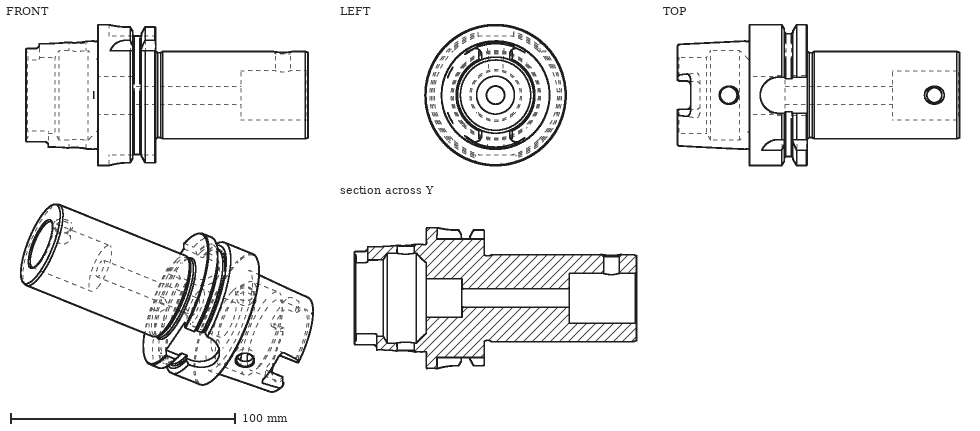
import cadquery as cq
import math


taper_length = 32.0
taper_large_radius = 24.2
taper_slope = 0.05
taper_end_x = -1.8
taper_nose_fillet = 1.2
undercut_radius = 48.04 / 2
undercut_start_x = -1.1
face_relief_depth = 0.2
face_relief_fillet = 0.8
face_relief_flat = 0.05
face_relief_outer_radius = 25.6

flange_width = 26.0
flange_radius = 63.0 / 2
flange_edge_chamfer = 0.4
groove_floor_radius = 55.0 / 2
groove_left_x = 14.6
groove_left_wall_x = 15.8
groove_right_wall_x = 19.6
groove_right_x = 21.2
groove_floor_fillet = 0.65
groove_flank_angle = 60.0
groove_flank_slope = math.tan(math.radians(groove_flank_angle))

body_length = 94.0
body_radius = 39.0 / 2
neck_radius = 38.0 / 2
neck_corner_x = 26.85
neck_end_x = 28.2
neck_chamfer_end_x = 29.2
body_end_chamfer_length = 1.2
body_end_radius = 38.0 / 2

mouth_radius = 34.0 / 2
mouth_chamfer = 0.6
mouth_length = 13.0
chamber_radius = 40.0 / 2
shoulder_angle = 60.0
shoulder_length = (chamber_radius - mouth_radius) / math.tan(math.radians(shoulder_angle))
chamber_floor_x = 0.0
chamber_floor_radius = 31.4 / 2
pipe_thread_radius = 16.92 / 2
pipe_thread_depth = 16.0
coolant_radius = 8.0 / 2

tool_bore_radius = 22.0 / 2
tool_bore_mouth_radius = 23.2 / 2
tool_bore_depth = 30.0
screw_hole_x = body_length - 11.3
screw_hole_diameter = 6.65
screw_countersink_diameter = 8.8

cross_hole_x = -9.1
cross_hole_diameter = 7.5
cross_hole_rim_diameter = 8.8

drive_slot_half_width = 12.5 / 2
drive_slot_flare_z = 18.0
drive_slot_flare_radius = 2.85
drive_slot_floor_fillet = 1.6
drive_slot_mouth_chamfer = 1.15
drive_slot_mouth_chamfer_length = 0.8
drive_slot_mouth_chamfer_top = 19.3
drive_slot_depths = ((5.9, 0), (10.0, 180))

keyway_floor_height = 26.5
keyway_start_x = 5.0
upper_keyway_width = 16.0
lower_keyway_width = 18.0

notch_offset = 19.8
notch_width = 16.0

clearance = 40.0


def revolve_about_x(points):
    return cq.Workplane("XY").polyline(points).close().revolve(360, (0, 0, 0), (1, 0, 0))


def taper_radius(x):
    return taper_large_radius + taper_slope * (x - taper_end_x)


def fillet_circle(body, x, radius, fillet_radius):
    """Round the circular edge of the given radius that lies in the plane at x."""
    tolerance = 0.01
    center_box = cq.selectors.BoxSelector(
        (x - tolerance, -tolerance, -tolerance),
        (x + tolerance, tolerance, tolerance),
    )
    edges = [
        edge for edge in body.edges("%CIRCLE").edges(center_box).vals()
        if abs(edge.radius() - radius) < tolerance
    ]
    return body.newObject(edges).fillet(fillet_radius)


def outer_body():
    relief_floor_radius = undercut_radius + face_relief_fillet + face_relief_flat
    left_flank_drop = groove_flank_slope * (groove_left_wall_x - groove_left_x)
    right_flank_drop = groove_flank_slope * (groove_right_x - groove_right_wall_x)
    body = revolve_about_x([
        (-taper_length, 0),
        (-taper_length, taper_radius(-taper_length)),
        (taper_end_x, taper_large_radius),
        (undercut_start_x, undercut_radius),
        (face_relief_depth, undercut_radius),
        (face_relief_depth, relief_floor_radius),
        (0, face_relief_outer_radius),
        (0, flange_radius - flange_edge_chamfer),
        (flange_edge_chamfer, flange_radius),
        (groove_left_x, flange_radius),
        (groove_left_wall_x, flange_radius - left_flank_drop),
        (groove_left_wall_x, groove_floor_radius),
        (groove_right_wall_x, groove_floor_radius),
        (groove_right_wall_x, flange_radius - right_flank_drop),
        (groove_right_x, flange_radius),
        (flange_width - flange_edge_chamfer, flange_radius),
        (flange_width, flange_radius - flange_edge_chamfer),
        (flange_width, body_radius),
        (neck_corner_x, neck_radius),
        (neck_end_x, neck_radius),
        (neck_chamfer_end_x, body_radius),
        (body_length - body_end_chamfer_length, body_radius),
        (body_length, body_end_radius),
        (body_length, 0),
    ])
    body = body.faces("<X").edges().fillet(taper_nose_fillet)
    body = fillet_circle(body, face_relief_depth, undercut_radius, face_relief_fillet)
    for wall_x in (groove_left_wall_x, groove_right_wall_x):
        body = fillet_circle(body, wall_x, groove_floor_radius, groove_floor_fillet)
    return body


def bores():
    shoulder_x = mouth_length - taper_length
    floor_cone_x = chamber_floor_x - (chamber_radius - chamber_floor_radius)
    tool_bore_floor_x = body_length - tool_bore_depth
    tool_bore_chamfer = tool_bore_mouth_radius - tool_bore_radius
    return revolve_about_x([
        (-taper_length, 0),
        (-taper_length, mouth_radius + mouth_chamfer),
        (-taper_length + mouth_chamfer, mouth_radius),
        (shoulder_x, mouth_radius),
        (shoulder_x + shoulder_length, chamber_radius),
        (floor_cone_x, chamber_radius),
        (chamber_floor_x, chamber_floor_radius),
        (chamber_floor_x, pipe_thread_radius),
        (chamber_floor_x + pipe_thread_depth, pipe_thread_radius),
        (chamber_floor_x + pipe_thread_depth, coolant_radius),
        (tool_bore_floor_x, coolant_radius),
        (tool_bore_floor_x, tool_bore_radius),
        (body_length - tool_bore_chamfer, tool_bore_radius),
        (body_length, tool_bore_mouth_radius),
        (body_length, 0),
    ])


def drive_slot(depth):
    """Slot toward +Z whose side walls flare outward below the taper surface."""
    floor_x = depth - taper_length
    flare_y = drive_slot_half_width + drive_slot_flare_radius
    flare_top_z = drive_slot_flare_z + drive_slot_flare_radius
    arc_inset = drive_slot_flare_radius * (1 - math.sqrt(0.5))
    arc_y = drive_slot_half_width + arc_inset
    arc_z = flare_top_z - arc_inset
    slot = (
        cq.Workplane("YZ", origin=(-clearance, 0, 0))
        .moveTo(-drive_slot_half_width, 0)
        .lineTo(drive_slot_half_width, 0)
        .lineTo(drive_slot_half_width, drive_slot_flare_z)
        .threePointArc((arc_y, arc_z), (flare_y, flare_top_z))
        .lineTo(clearance, flare_top_z)
        .lineTo(clearance, clearance)
        .lineTo(-clearance, clearance)
        .lineTo(-clearance, flare_top_z)
        .lineTo(-flare_y, flare_top_z)
        .threePointArc((-arc_y, arc_z), (-drive_slot_half_width, drive_slot_flare_z))
        .close()
        .extrude(floor_x + clearance)
        .faces(">X").edges().fillet(drive_slot_floor_fillet)
    )
    mouth_half_width = drive_slot_half_width + drive_slot_mouth_chamfer
    mouth = (
        cq.Workplane("XY")
        .polyline([
            (-taper_length, -mouth_half_width),
            (-taper_length, mouth_half_width),
            (-taper_length + drive_slot_mouth_chamfer_length, drive_slot_half_width),
            (-taper_length + drive_slot_mouth_chamfer_length, -drive_slot_half_width),
        ])
        .close()
        .extrude(drive_slot_mouth_chamfer_top)
    )
    return slot.union(mouth)


def round_ended_slot(width, center_y, floor_z):
    """Slot open toward +X and +Z with a half-round end at the start of the keyways."""
    radius = width / 2
    center_x = keyway_start_x + radius
    return (
        cq.Workplane("XY", origin=(0, center_y, floor_z))
        .moveTo(flange_width, radius)
        .lineTo(center_x, radius)
        .threePointArc((keyway_start_x, 0), (center_x, -radius))
        .lineTo(flange_width, -radius)
        .close()
        .extrude(clearance)
    )


def rotated_about_x(shape, angle):
    return shape.rotate((0, 0, 0), (1, 0, 0), angle)


def countersink(x, surface_z, hole_diameter, rim_diameter, depth):
    """Cone narrowing from the rim at the surface to the hole, extended straight outward."""
    return (
        cq.Workplane("XZ", origin=(x, 0, 0))
        .polyline([
            (0, surface_z - depth),
            (hole_diameter / 2, surface_z - depth),
            (rim_diameter / 2, surface_z),
            (rim_diameter / 2, clearance),
            (0, clearance),
        ])
        .close()
        .revolve(360, (0, 0, 0), (0, 1, 0))
    )


def cross_hole():
    """Radial hole through both taper walls with a slightly widened rim at each side."""
    rim_depth = (cross_hole_rim_diameter - cross_hole_diameter) / 2
    wall_radius = taper_radius(cross_hole_x)
    hole = (
        cq.Workplane("XY", origin=(cross_hole_x, 0, -clearance))
        .circle(cross_hole_diameter / 2)
        .extrude(2 * clearance)
    )
    rim = countersink(cross_hole_x, wall_radius, cross_hole_diameter, cross_hole_rim_diameter, rim_depth)
    return hole.union(rim).union(rotated_about_x(rim, 180))


def screw_hole():
    """Radial screw hole from +Z into the tool bore."""
    depth = (screw_countersink_diameter - screw_hole_diameter) / 2
    hole = (
        cq.Workplane("XY", origin=(screw_hole_x, 0, 0))
        .circle(screw_hole_diameter / 2)
        .extrude(clearance)
    )
    rim = countersink(screw_hole_x, body_radius, screw_hole_diameter, screw_countersink_diameter, depth)
    return hole.union(rim)


result = outer_body().cut(bores())
for slot_depth, slot_angle in drive_slot_depths:
    result = result.cut(rotated_about_x(drive_slot(slot_depth), slot_angle))
result = result.cut(round_ended_slot(upper_keyway_width, 0, keyway_floor_height))
result = result.cut(rotated_about_x(round_ended_slot(lower_keyway_width, 0, keyway_floor_height), 180))
result = result.cut(round_ended_slot(notch_width, -notch_offset - notch_width / 2, notch_offset))
result = result.cut(cross_hole()).cut(screw_hole())